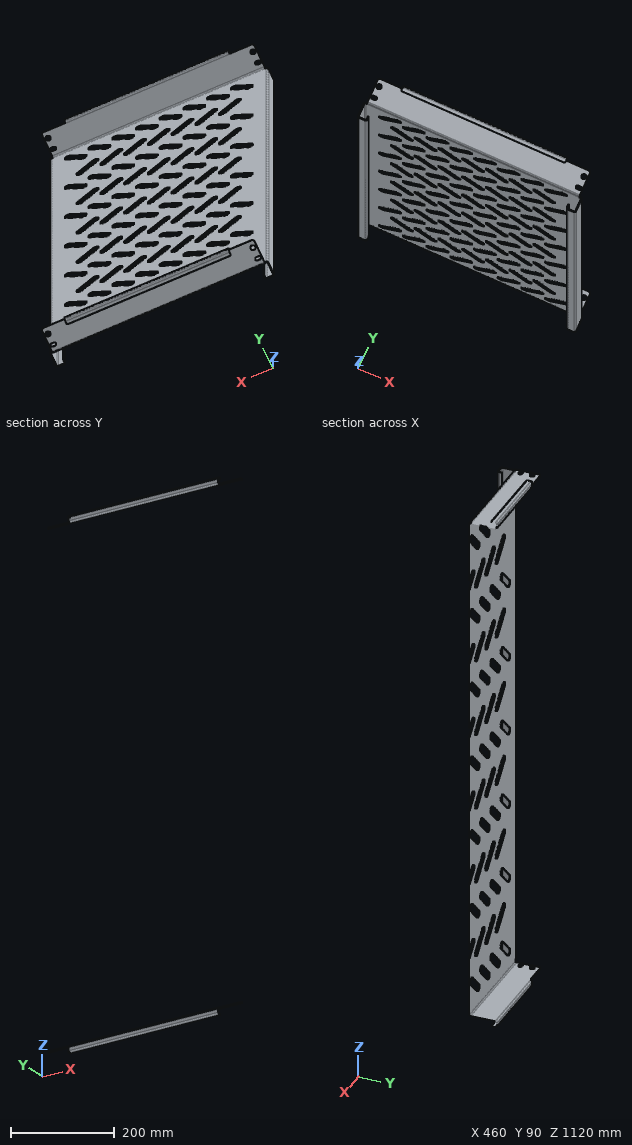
import cadquery as cq

overall_width = 460.0
overall_depth = 90.0
overall_height = 1120.0

sheet = 2.0
bend_radius = 4.0

channel_depth = 33.0
channel_length = 1082.0
return_width = 20.0
return_lip = 10.0

flange_width = 448.0
flange_corner_radius = 5.0
end_lip_width = 346.0
end_lip_height = 13.0
end_lip_return = 12.0
end_lip_corner_radius = 3.0
flange_back = overall_depth - bend_radius
lip_overlap = 10.0

slot_length = 60.0
slot_width = 14.0
slot_pitch = 50.0
row_pitch = 81.7
row_count = 13
long_row_slots = 8
short_row_slots = long_row_slots - 1
slot_angle = 45.0

fixing_x = 216.0
round_hole_y = 71.0
round_hole_diameter = 10.0
fixing_slot_y = 47.0
fixing_slot_length = 12.0
fixing_slot_width = 7.0

half_sheet = sheet / 2
middle_bend_radius = bend_radius - half_sheet
panel_y = channel_depth - half_sheet
flange_z = overall_height / 2 - end_lip_height
middle_flange_z = flange_z - half_sheet


def bent_strip(points, width, width_direction):
    """Sheet of the given width following a mid-thickness path with rounded bends."""
    corners = [cq.Vector(*point) for point in points]
    path = cq.Wire.makePolygon(corners).fillet(middle_bend_radius)
    start_plane = cq.Plane(origin=points[0], xDir=width_direction, normal=corners[1] - corners[0])
    return cq.Workplane(start_plane).rect(width, sheet).sweep(cq.Workplane(path))


def make_panel_with_channels():
    wall_x = overall_width / 2 - half_sheet
    lip_x = overall_width / 2 - return_width + half_sheet
    right_half = [
        (wall_x, panel_y, 0),
        (wall_x, half_sheet, 0),
        (lip_x, half_sheet, 0),
        (lip_x, return_lip, 0),
    ]
    left_half = [(-x, y, z) for x, y, z in reversed(right_half)]
    return bent_strip(left_half + right_half, channel_length, (0, 0, 1))


def make_flange():
    """Upper flange, from the panel to its back edge."""
    start_z = channel_length / 2 - bend_radius
    path = [(0, panel_y, start_z), (0, panel_y, middle_flange_z), (0, flange_back, middle_flange_z)]
    flange = bent_strip(path, flange_width, (1, 0, 0))
    return flange.edges("|Z and >Y").fillet(flange_corner_radius)


def make_end_lip():
    """Hooked lip rising from the back edge of the upper flange."""
    lip_y = overall_depth - half_sheet
    top_z = overall_height / 2 - half_sheet
    path = [
        (0, flange_back - lip_overlap, middle_flange_z),
        (0, lip_y, middle_flange_z),
        (0, lip_y, top_z),
        (0, overall_depth - end_lip_return, top_z),
    ]
    lip = bent_strip(path, end_lip_width, (1, 0, 0))
    return lip.edges("|Z").edges(">Z").fillet(end_lip_corner_radius)


def make_fixing_holes():
    """Cutters for the fixing holes of both flanges."""
    ends = [(-fixing_x, 0), (fixing_x, 0)]
    base = cq.Workplane("XY", origin=(0, 0, -overall_height / 2))
    round_holes = (
        base.center(0, round_hole_y).pushPoints(ends)
        .circle(round_hole_diameter / 2).extrude(overall_height)
    )
    slots = (
        base.center(0, fixing_slot_y).pushPoints(ends)
        .slot2D(fixing_slot_length, fixing_slot_width).extrude(overall_height)
    )
    return round_holes.union(slots)


def make_ventilation_slots():
    """Cutters for the panel slots: rows alternate in count and slope."""
    cutters = cq.Workplane("XZ", origin=(0, channel_depth, 0))
    for row in range(row_count):
        is_long_row = row % 2 == 0
        count = long_row_slots if is_long_row else short_row_slots
        angle = slot_angle if is_long_row else -slot_angle
        z = (row - (row_count - 1) / 2) * row_pitch
        places = [((i - (count - 1) / 2) * slot_pitch, z) for i in range(count)]
        cutters = cutters.pushPoints(places).slot2D(slot_length, slot_width, angle)
    return cutters.extrude(sheet)


upper_end = make_flange().union(make_end_lip())
lower_end = upper_end.mirror("XY")

result = (
    make_panel_with_channels()
    .union(upper_end)
    .union(lower_end)
    .cut(make_fixing_holes())
    .cut(make_ventilation_slots())
)